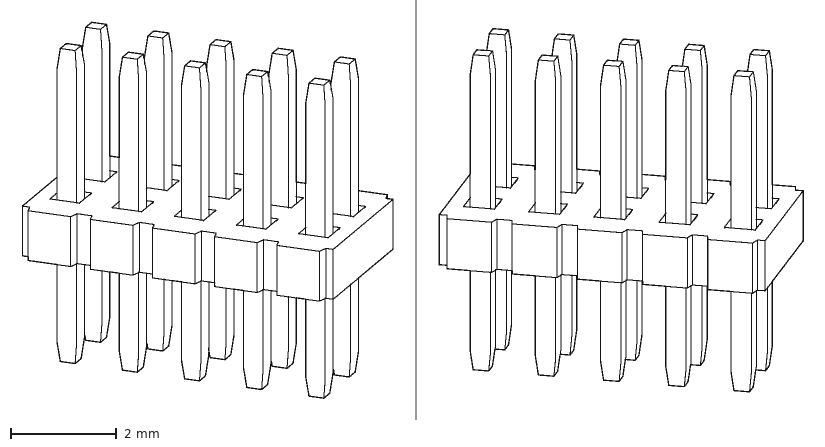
import cadquery as cq

pitch = 1.27
columns = 5
rows = 2

body_length = columns * pitch
body_width = 3.4
body_height = 1.005

notch_depth = 0.2
notch_mouth = 0.4
notch_floor = 0.3

pin_size = 0.4
tip_size = 0.305
tip_length = 0.4
pin_above_body = 3.0
pin_below_body = 2.3

lead_in_size = 0.605
lead_in_depth = 0.205


def make_body():
    """Plain block with notches along both long sides, one at each column boundary."""
    body = cq.Workplane("XY").box(body_length, body_width, body_height, centered=(True, True, False))
    for side in (-1, 1):
        y_mouth = side * body_width / 2
        y_floor = side * (body_width / 2 - notch_depth)
        for boundary in range(columns + 1):
            x = boundary * pitch - body_length / 2
            notch = (
                cq.Workplane("XY")
                .moveTo(x - notch_mouth / 2, y_mouth)
                .lineTo(x - notch_floor / 2, y_floor)
                .lineTo(x + notch_floor / 2, y_floor)
                .lineTo(x + notch_mouth / 2, y_mouth)
                .close()
                .extrude(body_height)
            )
            body = body.cut(notch)
    return body


def square_taper(start_z, start_size, end_z, end_size):
    """Square frustum on the Z axis between two heights."""
    return (
        cq.Workplane("XY", origin=(0, 0, start_z))
        .rect(start_size, start_size)
        .workplane(offset=end_z - start_z)
        .rect(end_size, end_size)
        .loft(ruled=True)
    )


def make_pin():
    """Square pin on the Z axis with a tapered tip at each end."""
    top = body_height + pin_above_body
    bottom = -pin_below_body
    shank_length = top - bottom - 2 * tip_length
    shank = (
        cq.Workplane("XY", origin=(0, 0, bottom + tip_length))
        .rect(pin_size, pin_size)
        .extrude(shank_length)
    )
    upper_tip = square_taper(top - tip_length, pin_size, top, tip_size)
    lower_tip = square_taper(bottom + tip_length, pin_size, bottom, tip_size)
    return shank.union(upper_tip).union(lower_tip)


lead_in = square_taper(body_height - lead_in_depth, pin_size, body_height, lead_in_size)
pin = make_pin()

result = make_body()
for column in range(columns):
    for row in range(rows):
        position = (
            (column - (columns - 1) / 2) * pitch,
            (row - (rows - 1) / 2) * pitch,
            0,
        )
        result = result.cut(lead_in.translate(position))
        result = result.union(pin.translate(position))